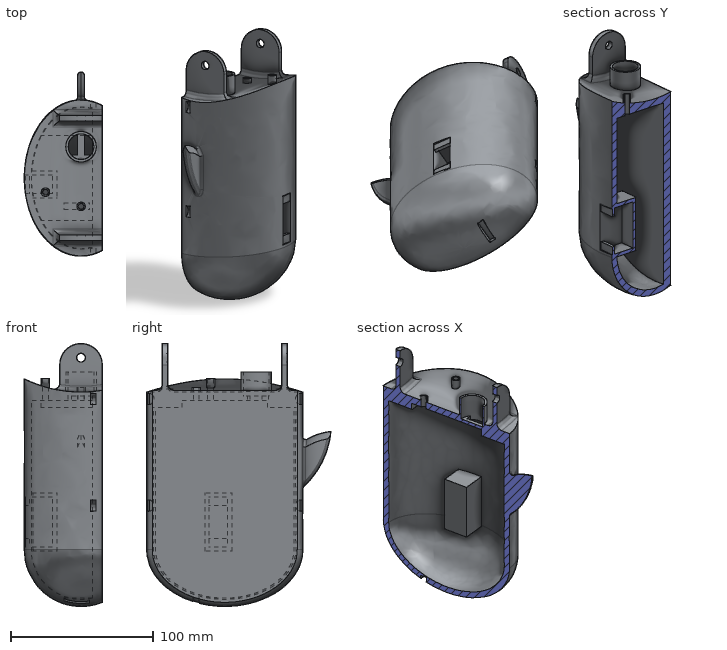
import cadquery as cq
import math

BODY_SEMI_X = 40.0
BODY_SEMI_Y = 55.0
DOME_HEIGHT = 40.0
BACK_X = 15.0
TOP_LOW_Z = 110.8
TOP_RADIUS = 90.0
TOP_AXIS_Z = TOP_LOW_Z + TOP_RADIUS
BODY_BLANK_HEIGHT = 130.0

WALL = 5.0
CAVITY_BACK_X = 8.0
CAVITY_CEILING_Z = 105.0

EAR_TOP_Z = 145.0
EAR_RADIUS = BACK_X
EAR_THICKNESS = 4.0
EAR_CENTRE_Y = 42.0
EAR_HOLE_Z = 135.0
EAR_HOLE_DIAMETER = 6.0
EAR_FILLET = 4.0
EAR_ROOT_Z = 100.0

TUBE_Y = 22.0
TUBE_OUTER_DIAMETER = 21.5
TUBE_BORE_DIAMETER = 18.0
TUBE_TOP_Z = 125.0
TUBE_FLOOR_Z = 108.0
PORT_BAR_WIDTH = 5.0
PORT_FRONT_Y = 16.0

NIPPLES = [(-25.0, -10.0, 120.5), (0.0, -20.0, 114.0)]
NIPPLE_OUTER_DIAMETER = 6.0
NIPPLE_BORE_DIAMETER = 4.0

WINDOW_CENTRE_Y = -4.5
WINDOW_WIDTH = 13.0
WINDOW_BOTTOM_Z = 2.0
WINDOW_HEIGHT = 35.0
WINDOW_BAR_HEIGHT = 6.0
WINDOW_BAR_FRONT_X = -38.9
WINDOW_BAR_THICKNESS = 2.5
WINDOW_BACK_X = -20.0
WINDOW_BOX_WALL = 3.0

SIDE_SLOT_X = 8.5
SIDE_SLOT_WIDTH = 4.0
SIDE_SLOT_RADIUS = 4.0
SIDE_SLOT_HEIGHTS = [31.0, 106.0]

DOME_SLOT_X = -3.0
DOME_SLOT_LENGTH = 18.0
DOME_SLOT_Y = -20.0
DOME_SLOT_WIDTH = 4.5
DOME_SLOT_FLOOR_Z = -34.0

FIN_THICKNESS = 5.0
FIN_ROOT_Y = 52.0
FIN_TIP = (74.67, 83.2)
FIN_TOP_MID = (65.5, 81.2)
FIN_TOP_ROOT = (FIN_ROOT_Y, 73.6)
FIN_LOWER_MID = (69.7, 63.9)
FIN_LOWER_ROOT = (FIN_ROOT_Y, 41.4)
FIN_ROOF_DROP = 5.0
FIN_EDGE_RADIUS = 2.0
FIN_ROOT_FILLET = 2.0


def box(x_min, x_max, y_min, y_max, z_min, z_max):
    """Axis-aligned block between the given limits."""
    size = (x_max - x_min, y_max - y_min, z_max - z_min)
    return cq.Workplane("XY").box(*size, centered=False).translate((x_min, y_min, z_min))


def cylinder(x, y, diameter, z_min, z_max):
    """Upright cylinder."""
    return cq.Workplane("XY", origin=(x, y, z_min)).circle(diameter / 2).extrude(z_max - z_min)


def capsule(inset, back_x, height):
    """Elliptical prism on a half-ellipsoid dome, offset inwards and cut flat at back_x."""
    semi_x = BODY_SEMI_X - inset
    semi_y = BODY_SEMI_Y - inset
    depth = DOME_HEIGHT - inset
    prism = cq.Workplane("XY").ellipse(semi_x, semi_y).extrude(height)
    quarter = (
        cq.Workplane("XZ")
        .moveTo(0, 0)
        .lineTo(1, 0)
        .threePointArc((math.sqrt(0.5), -math.sqrt(0.5)), (0, -1))
        .close()
    )
    unit_dome = quarter.revolve(360, (0, 0, 0), (0, 1, 0)).val()
    stretch = cq.Matrix([[semi_x, 0, 0, 0], [0, semi_y, 0, 0], [0, 0, depth, 0]])
    dome = cq.Workplane(unit_dome.transformGeometry(stretch))
    keep = box(-BODY_SEMI_X, back_x, -BODY_SEMI_Y, BODY_SEMI_Y, -DOME_HEIGHT, height)
    return prism.union(dome).intersect(keep)


def top_scoop():
    """Cylinder along Y whose underside is the concave top of the body."""
    return (
        cq.Workplane("XZ", origin=(0, BODY_SEMI_Y * 2, TOP_AXIS_Z))
        .circle(TOP_RADIUS)
        .extrude(BODY_SEMI_Y * 4)
    )


def ear(side):
    """Round-ended ear with a filleted foot on a slab that follows the concave top."""
    y_centre = side * EAR_CENTRE_Y
    arch_z = EAR_TOP_Z - EAR_RADIUS
    plate = (
        cq.Workplane("XZ", origin=(0, y_centre + EAR_THICKNESS / 2, 0))
        .moveTo(-EAR_RADIUS, EAR_ROOT_Z)
        .lineTo(-EAR_RADIUS, arch_z)
        .threePointArc((0, EAR_TOP_Z), (EAR_RADIUS, arch_z))
        .lineTo(EAR_RADIUS, EAR_ROOT_Z)
        .close()
        .extrude(EAR_THICKNESS)
    )
    hole = (
        cq.Workplane("XZ", origin=(0, y_centre + EAR_THICKNESS, EAR_HOLE_Z))
        .circle(EAR_HOLE_DIAMETER / 2)
        .extrude(EAR_THICKNESS * 2)
    )
    reach = EAR_THICKNESS + EAR_FILLET * 2
    slab = box(-BODY_SEMI_X, BACK_X, y_centre - reach, y_centre + reach, EAR_ROOT_Z, BODY_BLANK_HEIGHT)
    joined = slab.cut(top_scoop()).union(plate)
    foot = cq.selectors.BoxSelector(
        (-BODY_SEMI_X, y_centre - EAR_THICKNESS, TOP_LOW_Z - EAR_FILLET),
        (BACK_X - EAR_FILLET, y_centre + EAR_THICKNESS, TOP_LOW_Z + EAR_FILLET),
    )
    filleted = joined.edges(foot).fillet(EAR_FILLET)
    outline = cq.Workplane("XY").ellipse(BODY_SEMI_X, BODY_SEMI_Y).extrude(EAR_TOP_Z)
    return filleted.intersect(outline).cut(hole)


def tube():
    """Solid blank of the hose tube, reaching down into the top wall."""
    return cylinder(0, TUBE_Y, TUBE_OUTER_DIAMETER, CAVITY_CEILING_Z, TUBE_TOP_Z)


def tube_bore():
    """Blind bore of the hose tube with two ports, either side of a bar, down to the cavity."""
    radius = TUBE_BORE_DIAMETER / 2
    bore = cylinder(0, TUBE_Y, TUBE_BORE_DIAMETER, TUBE_FLOOR_Z, TUBE_TOP_Z)
    shaft = cylinder(0, TUBE_Y, TUBE_BORE_DIAMETER, CAVITY_CEILING_Z, TUBE_FLOOR_Z)
    port_limits = box(-radius, CAVITY_BACK_X, PORT_FRONT_Y, TUBE_Y + radius, CAVITY_CEILING_Z, TUBE_FLOOR_Z)
    half_bar = PORT_BAR_WIDTH / 2
    bar = box(-half_bar, half_bar, PORT_FRONT_Y, TUBE_Y + radius, CAVITY_CEILING_Z, TUBE_FLOOR_Z)
    return bore.union(shaft.intersect(port_limits).cut(bar))


def window_box():
    """Box inside the cavity that closes off the window pocket."""
    half = WINDOW_WIDTH / 2 + WINDOW_BOX_WALL
    return box(
        -BODY_SEMI_X,
        WINDOW_BACK_X + WINDOW_BOX_WALL,
        WINDOW_CENTRE_Y - half,
        WINDOW_CENTRE_Y + half,
        WINDOW_BOTTOM_Z - WINDOW_BOX_WALL,
        WINDOW_BOTTOM_Z + WINDOW_HEIGHT + WINDOW_BOX_WALL,
    )


def window_pocket():
    """Window pocket, less the two bars that cross its ends just behind the surface."""
    y_min = WINDOW_CENTRE_Y - WINDOW_WIDTH / 2
    y_max = WINDOW_CENTRE_Y + WINDOW_WIDTH / 2
    top_z = WINDOW_BOTTOM_Z + WINDOW_HEIGHT
    pocket = box(-BODY_SEMI_X, WINDOW_BACK_X, y_min, y_max, WINDOW_BOTTOM_Z, top_z)
    for bar_z in (WINDOW_BOTTOM_Z, top_z - WINDOW_BAR_HEIGHT):
        bar_back_x = WINDOW_BAR_FRONT_X + WINDOW_BAR_THICKNESS
        bar = box(WINDOW_BAR_FRONT_X, bar_back_x, y_min, y_max, bar_z, bar_z + WINDOW_BAR_HEIGHT)
        pocket = pocket.cut(bar)
    return pocket


def side_slot(side, z):
    """Half-round slot whose axis lies along X on the surface of the side wall."""
    y_surface = side * BODY_SEMI_Y * math.sqrt(1 - (SIDE_SLOT_X / BODY_SEMI_X) ** 2)
    return (
        cq.Workplane("YZ", origin=(SIDE_SLOT_X - SIDE_SLOT_WIDTH / 2, y_surface, z))
        .circle(SIDE_SLOT_RADIUS)
        .extrude(SIDE_SLOT_WIDTH)
    )


def dome_slot():
    """Straight slot, cut upwards to a flat floor within the dome wall."""
    return box(
        DOME_SLOT_X - DOME_SLOT_LENGTH / 2,
        DOME_SLOT_X + DOME_SLOT_LENGTH / 2,
        DOME_SLOT_Y - DOME_SLOT_WIDTH / 2,
        DOME_SLOT_Y + DOME_SLOT_WIDTH / 2,
        -DOME_HEIGHT,
        DOME_SLOT_FLOOR_Z,
    )


def fin_roof_half(side):
    """Region under one slope of the fin's roof, sheared down from the ridge at x = 0."""
    profile = (
        cq.Workplane("YZ")
        .moveTo(*FIN_TOP_ROOT)
        .threePointArc(FIN_TOP_MID, FIN_TIP)
        .lineTo(FIN_TIP[0], 0)
        .lineTo(FIN_ROOT_Y, 0)
        .close()
    )
    face = cq.Face.makeFromWires(profile.val())
    slope = cq.Vector(side * FIN_THICKNESS / 2, 0, -FIN_ROOF_DROP)
    return cq.Workplane(cq.Solid.extrudeLinear(face, slope))


def fin():
    """Curved fin with a roof-shaped top and a rounded lower edge."""
    blade = (
        cq.Workplane("YZ", origin=(-FIN_THICKNESS / 2, 0, 0))
        .moveTo(*FIN_TOP_ROOT)
        .threePointArc(FIN_TOP_MID, FIN_TIP)
        .threePointArc(FIN_LOWER_MID, FIN_LOWER_ROOT)
        .close()
        .extrude(FIN_THICKNESS)
    )
    lower_edges = cq.selectors.BoxSelector(
        (-FIN_THICKNESS, FIN_ROOT_Y, 0),
        (FIN_THICKNESS, FIN_TIP[0], FIN_TOP_ROOT[1]),
    )
    rounded = blade.edges("%CIRCLE").edges(lower_edges).fillet(FIN_EDGE_RADIUS)
    roof = fin_roof_half(1).union(fin_roof_half(-1))
    return rounded.intersect(roof)


def blend_fin(body):
    """Join the fin to the body's +Y side and fillet the edges where they meet."""
    joined = body.union(fin())
    root = cq.selectors.BoxSelector(
        (-FIN_THICKNESS, FIN_ROOT_Y, FIN_LOWER_ROOT[1]),
        (FIN_THICKNESS, BODY_SEMI_Y, FIN_TIP[1]),
    )
    return joined.edges(root).fillet(FIN_ROOT_FILLET)


def cavity():
    """Hollow that follows the body outline, leaving the window's box standing inside."""
    return capsule(WALL, CAVITY_BACK_X, CAVITY_CEILING_Z).cut(window_box())


shell = capsule(0, BACK_X, BODY_BLANK_HEIGHT).cut(top_scoop())
shell = shell.cut(cavity()).cut(window_pocket())
shell = shell.union(ear(1)).union(ear(-1))

shell = shell.union(tube()).cut(tube_bore())
for x, y, top_z in NIPPLES:
    shell = shell.union(cylinder(x, y, NIPPLE_OUTER_DIAMETER, CAVITY_CEILING_Z, top_z))
    shell = shell.cut(cylinder(x, y, NIPPLE_BORE_DIAMETER, CAVITY_CEILING_Z, top_z))

for z in SIDE_SLOT_HEIGHTS:
    shell = shell.cut(side_slot(1, z)).cut(side_slot(-1, z))

shell = shell.cut(dome_slot())
result = blend_fin(shell)